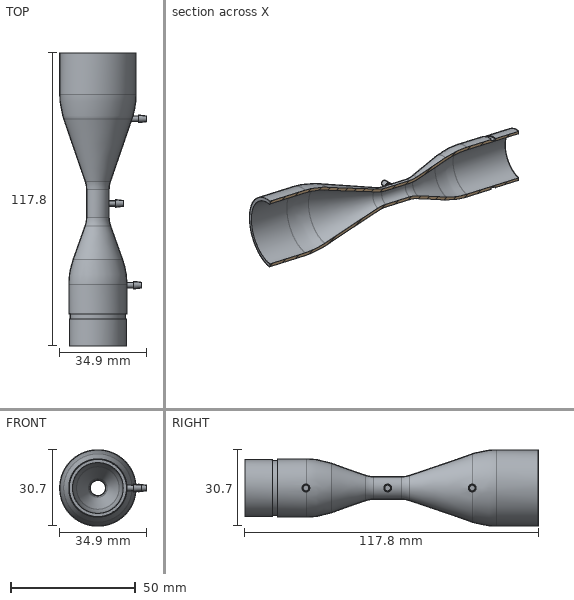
import cadquery as cq
import math

WALL = 1.5
TOTAL_LENGTH = 117.77

INLET_RADIUS = 11.7
SPIGOT_RADIUS = 11.5
GROOVE_RADIUS = 11.1
THROAT_RADIUS = 4.55
OUTLET_RADIUS = 15.35

GROOVE_START_Y = 11.0
GROOVE_END_Y = 13.0
INLET_END_Y = 24.7
THROAT_START_Y = 51.7
THROAT_END_Y = 62.9
OUTLET_START_Y = 101.0

SHOULDER_ROUND = 30.0
THROAT_ROUND = 10.0

TAP_PROTRUSION = 5.83
INLET_TAP_Y = 24.5
TAP_STEM_RADIUS = 1.15
BARB_LENGTH = 3.2
BARB_RADIUS = 1.55
BARB_TIP_RADIUS = 1.15


def cone_angle(length, drop):
    """Half angle of the cone tangent to both blends over the given length and radius drop."""
    rounds = SHOULDER_ROUND + THROAT_ROUND
    slant = math.sqrt(length**2 + drop**2 - 2 * rounds * drop)
    return math.atan2(rounds, slant) - math.atan2(rounds - drop, length)


INLET_ANGLE = cone_angle(THROAT_START_Y - INLET_END_Y, INLET_RADIUS - THROAT_RADIUS)
OUTLET_ANGLE = cone_angle(OUTLET_START_Y - THROAT_END_Y, OUTLET_RADIUS - THROAT_RADIUS)


def arc_point(center_x, center_y, radius, angle):
    """Point on a profile arc, with the angle measured from the radial (+X) direction towards +Y."""
    return (center_x + radius * math.cos(angle), center_y + radius * math.sin(angle))


def add_contour(sketch, inset):
    """Trace inlet shoulder, cone, throat, cone and outlet shoulder, moved inwards by inset."""
    shoulder = SHOULDER_ROUND - inset
    hollow = THROAT_ROUND + inset
    inlet_x = INLET_RADIUS - SHOULDER_ROUND
    outlet_x = OUTLET_RADIUS - SHOULDER_ROUND
    throat_x = THROAT_RADIUS + THROAT_ROUND

    def inlet_shoulder(angle):
        return arc_point(inlet_x, INLET_END_Y, shoulder, angle)

    def inlet_hollow(angle):
        return arc_point(throat_x, THROAT_START_Y, -hollow, angle)

    def outlet_hollow(angle):
        return arc_point(throat_x, THROAT_END_Y, -hollow, -angle)

    def outlet_shoulder(angle):
        return arc_point(outlet_x, OUTLET_START_Y, shoulder, -angle)

    return (
        sketch.lineTo(*inlet_shoulder(0))
        .threePointArc(inlet_shoulder(INLET_ANGLE / 2), inlet_shoulder(INLET_ANGLE))
        .lineTo(*inlet_hollow(INLET_ANGLE))
        .threePointArc(inlet_hollow(INLET_ANGLE / 2), inlet_hollow(0))
        .lineTo(*outlet_hollow(0))
        .threePointArc(outlet_hollow(OUTLET_ANGLE / 2), outlet_hollow(OUTLET_ANGLE))
        .lineTo(*outlet_shoulder(OUTLET_ANGLE))
        .threePointArc(outlet_shoulder(OUTLET_ANGLE / 2), outlet_shoulder(0))
        .lineTo(OUTLET_RADIUS - inset, TOTAL_LENGTH)
    )


def revolve_about_y(sketch):
    return sketch.lineTo(0, TOTAL_LENGTH).close().revolve(360, (0, 0), (0, 1))


def outer_body():
    """Solid outside shape with the grooved inlet spigot."""
    spigot = (
        cq.Workplane("XY")
        .lineTo(SPIGOT_RADIUS, 0)
        .lineTo(SPIGOT_RADIUS, GROOVE_START_Y)
        .lineTo(GROOVE_RADIUS, GROOVE_START_Y)
        .lineTo(GROOVE_RADIUS, GROOVE_END_Y)
        .lineTo(INLET_RADIUS, GROOVE_END_Y)
    )
    return revolve_about_y(add_contour(spigot, 0))


def bore():
    """Flow passage, parallel to the outside shape at the wall thickness."""
    mouth = cq.Workplane("XY").lineTo(INLET_RADIUS - WALL, 0)
    return revolve_about_y(add_contour(mouth, WALL))


def pressure_tap(y, surface_radius):
    """Solid barbed stub along +X, rooted in the middle of the wall."""
    root_x = surface_radius - WALL / 2
    tip_x = surface_radius + TAP_PROTRUSION
    barb_x = tip_x - BARB_LENGTH
    return (
        cq.Workplane("XY")
        .moveTo(root_x, y)
        .lineTo(root_x, y + TAP_STEM_RADIUS)
        .lineTo(barb_x, y + TAP_STEM_RADIUS)
        .lineTo(barb_x, y + BARB_RADIUS)
        .lineTo(tip_x, y + BARB_TIP_RADIUS)
        .lineTo(tip_x, y)
        .close()
        .revolve(360, (root_x, y), (tip_x, y))
    )


outlet_tap_y = OUTLET_START_Y - SHOULDER_ROUND * math.sin(OUTLET_ANGLE)
outlet_tap_radius = OUTLET_RADIUS - SHOULDER_ROUND * (1 - math.cos(OUTLET_ANGLE))
throat_tap_y = (THROAT_START_Y + THROAT_END_Y) / 2
taps = [
    (INLET_TAP_Y, INLET_RADIUS),
    (throat_tap_y, THROAT_RADIUS),
    (outlet_tap_y, outlet_tap_radius),
]

result = outer_body().cut(bore())
for tap_y, tap_surface_radius in taps:
    result = result.union(pressure_tap(tap_y, tap_surface_radius))